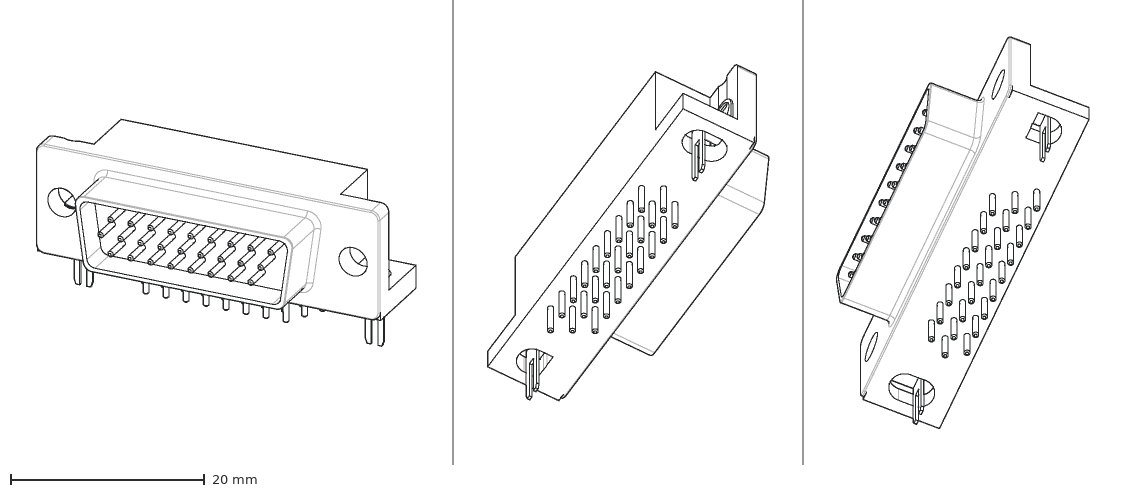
import cadquery as cq
import math


length = 39.2
height = 12.45
depth = 8.95
flange_depth = 2.35
corner_radius = 0.95
block_width = 28.15
wing_height = 2.63

plate_thickness = 0.35
plate_edge_radius = 0.15

mount_offset = 16.62
mount_height = 6.27
mount_diameter = 3.2
slot_back = 6.98
square_slot_front = 3.8
round_slot_front = 2.1

shell_reach = 5.75
shell_top_width = 24.85
shell_height = 8.43
shell_radius = 1.0
shell_wall = 0.5
shell_slant = 8.0
shell_root_radius = 0.55
rim_radius = 0.08
pocket_radius = 0.95
pocket_depth = 3.37

pin_diameter = 0.63
pin_bevel = 0.15
row_span = 18.25
row_pitch = 1.95
row_counts = (9, 9, 8)
row_shifts = (0.5, 0.0, 0.5)
pin_pitch = row_span / (row_counts[0] - 1)
contact_reach = 5.5
tail_reach = 3.92
tail_rows = (7.3, 5.35, 3.3)
pin_embed = 0.8

bracket_diameter = 4.0
bracket_thickness = 0.25
foot_width = 2.08
foot_thickness = 0.15
leg_thickness = 0.3
leg_y = 5.3
leg_reach = 5.45
leg_gap = 0.8
leg_tip_width = 0.2
leg_tip_height = 0.6

pocket_floor_y = pocket_depth - shell_reach
first_pin_x = -(row_span + pin_pitch / 2) / 2


def box(x_min, x_max, y_min, y_max, z_min, z_max):
    """Box given by its limits along the three axes."""
    size = (x_max - x_min, y_max - y_min, z_max - z_min)
    return cq.Workplane("XY").box(*size, centered=False).translate((x_min, y_min, z_min))


def cylinder_along_y(diameter, x, z, y_min, y_max):
    """Round bar running from y_min back to y_max."""
    bar = cq.Workplane("XZ", origin=(x, y_max, z)).circle(diameter / 2)
    return bar.extrude(y_max - y_min)


def make_housing():
    """Rear block, front flange with rounded top corners, and low side wings."""
    half = length / 2
    flange = box(-half, half, plate_thickness, flange_depth, 0, height)
    flange = flange.edges("|Y and >Z").fillet(corner_radius)
    block = box(-block_width / 2, block_width / 2, plate_thickness, depth, 0, height)
    wings = box(-half, half, plate_thickness, depth, 0, wing_height)
    return flange.union(block).union(wings)


def make_plate():
    """Metal face plate with rounded corners and a rounded front edge."""
    plate = box(-length / 2, length / 2, 0, plate_thickness, 0, height)
    plate = plate.edges("|Y").fillet(corner_radius)
    return plate.faces("<Y").edges().fillet(plate_edge_radius)


def shell_outline(inset, radius, y_start, reach):
    """Rounded D-shaped prism, shrunk by inset and growing forward from y_start."""
    slope = math.tan(math.radians(shell_slant))
    half_height = shell_height / 2 - inset
    side_inset = inset / math.cos(math.radians(shell_slant))
    mid_half_width = shell_top_width / 2 - side_inset - slope * (shell_height / 2 - shell_radius)
    top = mid_half_width + slope * half_height
    bottom = mid_half_width - slope * half_height
    corners = [(-top, half_height), (top, half_height), (bottom, -half_height), (-bottom, -half_height)]
    prism = cq.Workplane("XZ", origin=(0, y_start, mount_height)).polyline(corners).close()
    return prism.extrude(reach).edges("|Y").fillet(radius)


def make_front():
    """Face plate and shell, blended at the root, rounded at the rim and hollowed."""
    shell = shell_outline(0, shell_radius, plate_thickness, shell_reach + plate_thickness)
    front = make_plate().union(shell)
    margin = 0.05
    half_zone_x = shell_top_width / 2 + margin
    half_zone_z = shell_height / 2 + margin
    root_zone = cq.selectors.BoxSelector(
        (-half_zone_x, -margin, mount_height - half_zone_z),
        (half_zone_x, margin, mount_height + half_zone_z),
    )
    front = front.edges(root_zone).fillet(shell_root_radius)
    front = front.faces("<Y").edges().fillet(rim_radius)
    return front.cut(shell_outline(shell_wall, pocket_radius, pocket_floor_y, pocket_depth))


def make_slot(x, front_y):
    """Straight-sided cut with a round back end."""
    radius = mount_diameter / 2
    back_centre = slot_back - radius
    straight = box(x - radius, x + radius, front_y, back_centre, 0, wing_height)
    back = cq.Workplane("XY").center(x, back_centre).circle(radius).extrude(wing_height)
    return straight.union(back)


def make_round_slot(x):
    """Slot with two round ends; its front end nicks the flange over the full height."""
    radius = mount_diameter / 2
    front_centre = round_slot_front + radius
    front = cq.Workplane("XY").center(x, front_centre).circle(radius).extrude(height)
    return make_slot(x, front_centre).union(front)


def make_contact(x, z):
    """Straight pin inside the shell with a bevelled tip."""
    pin = cylinder_along_y(pin_diameter, x, z, -contact_reach, pin_embed)
    return pin.faces("<Y").chamfer(pin_bevel)


def make_tail(x, y):
    """Solder tail below the housing with a bevelled tip."""
    tail = cq.Workplane("XY", origin=(x, y, pin_embed)).circle(pin_diameter / 2)
    tail = tail.extrude(-tail_reach - pin_embed)
    return tail.faces("<Z").chamfer(pin_bevel)


def make_bracket(x):
    """Board lock: upright with a round top, a foot on the wing and a forked leg."""
    radius = bracket_diameter / 2
    back = flange_depth + bracket_thickness
    foot_top = wing_height + foot_thickness
    half_foot = foot_width / 2
    leg_back = leg_y + leg_thickness / 2
    upright = box(x - radius, x + radius, flange_depth, back, wing_height, mount_height)
    upright = upright.union(cylinder_along_y(bracket_diameter, x, mount_height, flange_depth, back))
    foot = box(x - half_foot, x + half_foot, flange_depth, leg_back, wing_height, foot_top)
    leg_profile = [
        (-half_foot, foot_top),
        (half_foot, foot_top),
        (half_foot, leg_tip_height - leg_reach),
        (half_foot - leg_tip_width, -leg_reach),
        (leg_gap / 2, -leg_reach),
        (leg_gap / 2, 0),
        (-leg_gap / 2, 0),
        (-leg_gap / 2, -leg_reach),
        (leg_tip_width - half_foot, -leg_reach),
        (-half_foot, leg_tip_height - leg_reach),
    ]
    leg = cq.Workplane("XZ", origin=(x, leg_back, 0)).polyline(leg_profile).close()
    return upright.union(foot).union(leg.extrude(leg_thickness))


housing = make_housing()
housing = housing.cut(make_round_slot(-mount_offset))
housing = housing.cut(make_slot(mount_offset, square_slot_front))
result = housing.union(make_front())

for side in (-1, 1):
    mount_x = side * mount_offset
    result = result.union(make_bracket(mount_x))
    result = result.cut(cylinder_along_y(mount_diameter, mount_x, mount_height, 0, depth))

for row, count in enumerate(row_counts):
    for column in range(count):
        pin_x = first_pin_x + (column + row_shifts[row]) * pin_pitch
        pin_z = mount_height + (1 - row) * row_pitch
        result = result.union(make_contact(pin_x, pin_z))
        result = result.union(make_tail(pin_x, tail_rows[row]))